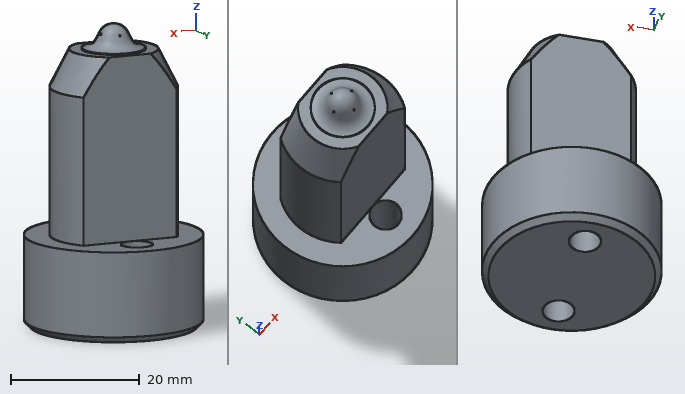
import cadquery as cq
import math

total_height = 48.0
base_diameter = 28.0
base_height = 14.5
base_chamfer = 1.0

hole_diameter = 5.0
hole_offset = 8.5

post_diameter = 20.0
post_width = 12.0
taper_start = 38.0
post_top = 44.0
post_top_diameter = 13.9

flare_diameter = 10.0
dome_radius = 2.5
flare_radius = 2.5
cone_half_angle = math.radians(26.5)

passage_diameter = 0.15
passage_height = 46.45


def make_base():
    base = cq.Workplane("XY").circle(base_diameter / 2).extrude(base_height)
    return base.faces("<Z").edges().chamfer(base_chamfer)


def make_post():
    round_post = (
        cq.Workplane("XZ")
        .moveTo(0, 0)
        .lineTo(post_diameter / 2, 0)
        .lineTo(post_diameter / 2, taper_start)
        .lineTo(post_top_diameter / 2, post_top)
        .lineTo(0, post_top)
        .close()
        .revolve(360, (0, 0), (0, 1))
    )
    flats = cq.Workplane("XY").rect(post_diameter, post_width).extrude(post_top)
    return round_post.intersect(flats)


def arc_point(center, radius, angle):
    return (center[0] + radius * math.cos(angle), center[1] + radius * math.sin(angle))


def make_tip():
    dome_center = (0, total_height - dome_radius)
    cone_top = arc_point(dome_center, dome_radius, cone_half_angle)
    dome_mid = arc_point(dome_center, dome_radius, (cone_half_angle + math.pi / 2) / 2)

    flare_edge = flare_diameter / 2
    cone_bottom_radius = flare_edge - flare_radius * math.cos(cone_half_angle)
    cone_height = (cone_bottom_radius - cone_top[0]) / math.tan(cone_half_angle)
    cone_bottom = (cone_bottom_radius, cone_top[1] - cone_height)

    flare_center = (flare_edge, cone_bottom[1] + flare_radius * math.sin(cone_half_angle))
    rim_top = (flare_edge, flare_center[1] - flare_radius)
    flare_mid_angle = (math.pi + cone_half_angle + 3 * math.pi / 2) / 2
    flare_mid = arc_point(flare_center, flare_radius, flare_mid_angle)

    return (
        cq.Workplane("XZ")
        .moveTo(0, taper_start)
        .lineTo(flare_edge, taper_start)
        .lineTo(*rim_top)
        .threePointArc(flare_mid, cone_bottom)
        .lineTo(*cone_top)
        .threePointArc(dome_mid, (0, total_height))
        .close()
        .revolve(360, (0, 0), (0, 1))
    )


def make_base_holes():
    return (
        cq.Workplane("XY")
        .pushPoints([(0, hole_offset), (0, -hole_offset)])
        .circle(hole_diameter / 2)
        .extrude(base_height)
    )


def make_passage(plane):
    return (
        cq.Workplane(plane)
        .center(0, passage_height)
        .circle(passage_diameter / 2)
        .extrude(flare_diameter / 2, both=True)
    )


result = make_base().union(make_post()).union(make_tip()).cut(make_base_holes())
for plane in ("XZ", "YZ"):
    result = result.cut(make_passage(plane))